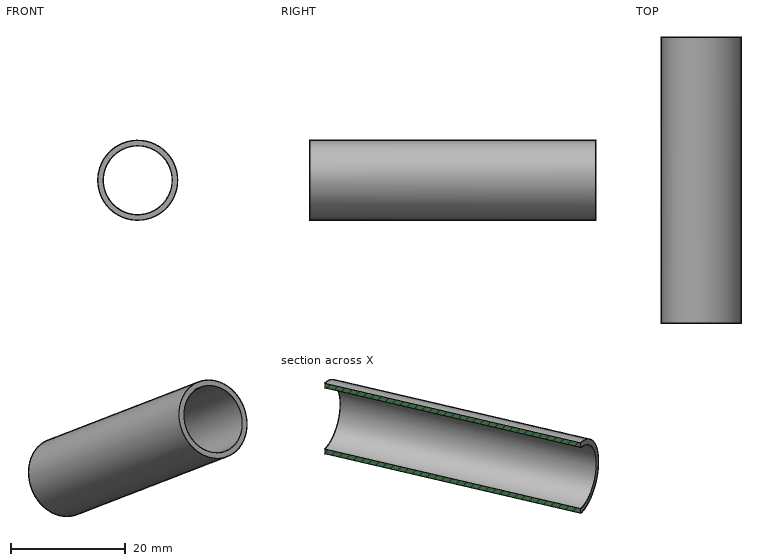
import cadquery as cq

length = 50.0
outer_diameter = 14.0
wall_thickness = 1.0
inner_diameter = outer_diameter - 2 * wall_thickness

result = (
    cq.Workplane("XZ", origin=(0, length / 2, 0))
    .circle(outer_diameter / 2)
    .circle(inner_diameter / 2)
    .extrude(length)
)